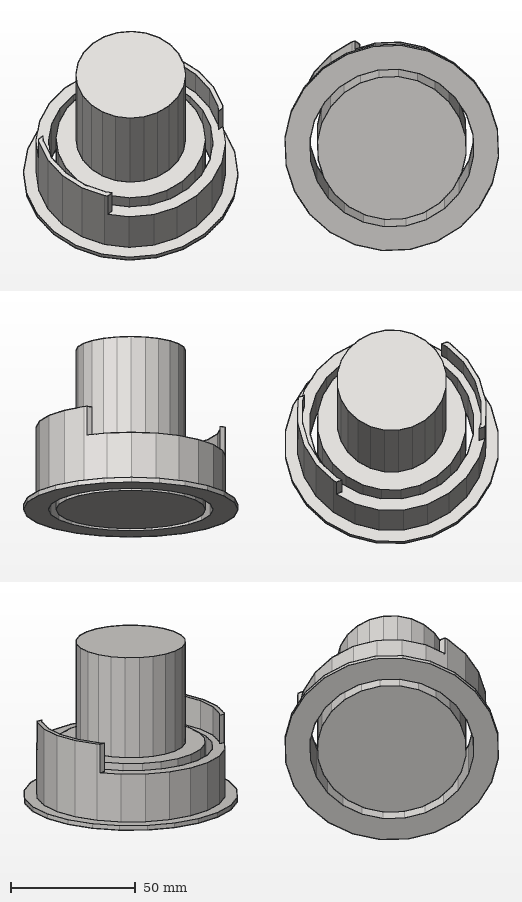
import cadquery as cq

SIDES = 24

FLANGE_DIAMETER = 86.0
FLANGE_THICKNESS = 2.0
RING_DIAMETER = 76.0
RING_TOP = 22.0
BORE_DIAMETER = 66.0

TAB_WALL = 2.0
TAB_INNER_DIAMETER = RING_DIAMETER - 2 * TAB_WALL
TAB_WIDTH = 40.0
TAB_TOP = 34.0

PLUNGER_BASE_DIAMETER = 59.85
PLUNGER_BASE_TOP = 24.0
POST_DIAMETER = 44.0
POST_TOP = 66.0


def prism(diameter, bottom, top):
    """Upright polygonal prism centred on the Z axis."""
    return (
        cq.Workplane("XY")
        .workplane(offset=bottom)
        .polygon(SIDES, diameter)
        .extrude(top - bottom)
    )


def make_tabs():
    """Two opposite wall segments, cut from a thin ring by a strip running along Y."""
    wall = prism(RING_DIAMETER, RING_TOP, TAB_TOP).cut(prism(TAB_INNER_DIAMETER, RING_TOP, TAB_TOP))
    strip = (
        cq.Workplane("XY")
        .workplane(offset=RING_TOP)
        .rect(TAB_WIDTH, RING_DIAMETER)
        .extrude(TAB_TOP - RING_TOP)
    )
    return wall.intersect(strip)


def make_housing():
    """Flanged ring with an open bore and two raised tabs."""
    flange = prism(FLANGE_DIAMETER, 0, FLANGE_THICKNESS)
    ring = prism(RING_DIAMETER, FLANGE_THICKNESS, RING_TOP)
    bore = prism(BORE_DIAMETER, 0, RING_TOP)
    return flange.union(ring).cut(bore).union(make_tabs())


def make_plunger():
    """Post on a wider base, standing clear inside the bore."""
    base = prism(PLUNGER_BASE_DIAMETER, 0, PLUNGER_BASE_TOP)
    post = prism(POST_DIAMETER, PLUNGER_BASE_TOP, POST_TOP)
    return base.union(post)


housing = make_housing()
plunger = make_plunger()

result = cq.Compound.makeCompound([housing.solids().val(), plunger.solids().val()])